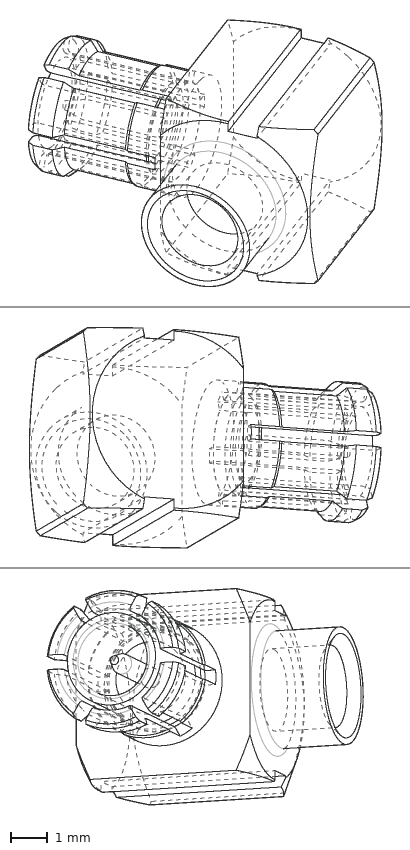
import cadquery as cq
import math


BODY_LEFT = -1.9
BODY_RIGHT = 2.5
BODY_WIDTH = 5.0
EDGE_CHAMFER = 0.12
BEVEL_RIM_RADIUS = 2.45
BEVEL_ANGLE = 30.0
GROOVE_LEFT = 0.1
GROOVE_WIDTH = 0.85
GROOVE_DEPTH = 0.3

TAIL_RADIUS = 1.6
TAIL_LENGTH = 2.0
TAIL_FILLET = 0.2
TAIL_BORE_RADIUS = 1.12
TAIL_BORE_DEPTH = 2.0
TAIL_MOUTH_CHAMFER = 0.3

SLEEVE_LENGTH = 4.2
SLEEVE_ROOT_RADIUS = 1.7
FINGER_RADIUS = 1.65
FINGER_INNER_RADIUS = 1.4
FINGER_TIP_FILLET = 0.15
HEAD_RADIUS = 1.9
HEAD_TIP_RADIUS = 1.8
HEAD_START = 0.18
HEAD_END = 0.75
NECK_START = 1.0
NECK_END = 2.8
ROOT_START = 2.88
SLOT_COUNT = 6
SLOT_WIDTH = 0.4
SLOT_LENGTH = 3.7

TUBE_SETBACK = 0.06
TUBE_RADIUS = 1.27
TUBE_BORE_RADIUS = 1.0
TUBE_BORE_FILLET = 0.1
TUBE_BORE_DEPTH = 3.2
COLLAR_START = 3.25
COLLAR_RADIUS = 1.385

PIN_RADIUS = 0.28
PIN_TIP_RADIUS = 0.12
PIN_SETBACK = 0.3
PIN_TAPER_LENGTH = 0.6

HALF_WIDTH = BODY_WIDTH / 2
TIP_X = BODY_LEFT - SLEEVE_LENGTH
TAIL_END_Y = -HALF_WIDTH - TAIL_LENGTH
X_AXIS = ((0, 0, 0), (1, 0, 0))
PROFILE_X_AXIS = ((0, 0, 0), (1, 0, 0))
PROFILE_Y_AXIS = ((0, 0, 0), (0, 1, 0))


def revolve_about_x(profile):
    """Revolve a profile of (distance from sleeve tip, radius) points about X."""
    points = [(TIP_X + distance, radius) for distance, radius in profile]
    return cq.Workplane("XZ").polyline(points).close().revolve(360, *PROFILE_X_AXIS)


def make_rounded_bore(mouth_x, floor_x, radius, fillet):
    """Cutter for a blind bore along X whose mouth edge is rounded."""
    return (
        cq.Workplane("XZ")
        .moveTo(mouth_x, 0)
        .lineTo(mouth_x, radius + fillet)
        .radiusArc((mouth_x + fillet, radius), -fillet)
        .lineTo(floor_x, radius)
        .lineTo(floor_x, 0)
        .close()
        .revolve(360, *PROFILE_X_AXIS)
    )


def make_body():
    """Square block with beveled Y faces and a groove across its top and bottom."""
    body_length = BODY_RIGHT - BODY_LEFT
    body = (
        cq.Workplane("XY")
        .box(body_length, BODY_WIDTH, BODY_WIDTH, centered=(False, True, True))
        .translate((BODY_LEFT, 0, 0))
        .edges("|Y and >X")
        .chamfer(EDGE_CHAMFER)
    )
    body = body.intersect(make_bevel_envelope())
    for side in (1, -1):
        groove = (
            cq.Workplane("XY")
            .box(GROOVE_WIDTH, BODY_WIDTH, 2 * GROOVE_DEPTH, centered=(False, True, True))
            .translate((GROOVE_LEFT, 0, side * HALF_WIDTH))
        )
        body = body.cut(groove)
    return body


def make_bevel_envelope():
    """Double cone about the tail axis that bevels the corners at both Y faces."""
    outer_radius = BODY_WIDTH
    drop = (outer_radius - BEVEL_RIM_RADIUS) * math.tan(math.radians(BEVEL_ANGLE))
    return (
        cq.Workplane("XY")
        .moveTo(0, -HALF_WIDTH)
        .lineTo(BEVEL_RIM_RADIUS, -HALF_WIDTH)
        .lineTo(outer_radius, -HALF_WIDTH + drop)
        .lineTo(outer_radius, HALF_WIDTH - drop)
        .lineTo(BEVEL_RIM_RADIUS, HALF_WIDTH)
        .lineTo(0, HALF_WIDTH)
        .close()
        .revolve(360, *PROFILE_Y_AXIS)
    )


def make_tail():
    """Cable tail with a concave fillet where it meets the body."""
    return (
        cq.Workplane("YZ")
        .moveTo(0, 0)
        .lineTo(0, TAIL_RADIUS + TAIL_FILLET)
        .lineTo(-HALF_WIDTH, TAIL_RADIUS + TAIL_FILLET)
        .radiusArc((-HALF_WIDTH - TAIL_FILLET, TAIL_RADIUS), TAIL_FILLET)
        .lineTo(TAIL_END_Y, TAIL_RADIUS)
        .lineTo(TAIL_END_Y, 0)
        .close()
        .revolve(360, *PROFILE_X_AXIS)
    )


def make_tail_bore():
    """Blind bore with a chamfered mouth."""
    bore_floor_y = TAIL_END_Y + TAIL_BORE_DEPTH
    points = [
        (TAIL_END_Y, 0),
        (TAIL_END_Y, TAIL_BORE_RADIUS + TAIL_MOUTH_CHAMFER),
        (TAIL_END_Y + TAIL_MOUTH_CHAMFER, TAIL_BORE_RADIUS),
        (bore_floor_y, TAIL_BORE_RADIUS),
        (bore_floor_y, 0),
    ]
    return cq.Workplane("YZ").polyline(points).close().revolve(360, *PROFILE_X_AXIS)


def make_sleeve():
    """Spring-finger sleeve: hollow up to the slot ends, then solid."""
    outside = revolve_about_x([
        (0, 0),
        (0, HEAD_TIP_RADIUS),
        (HEAD_START, HEAD_RADIUS),
        (HEAD_END, HEAD_RADIUS),
        (NECK_START, FINGER_RADIUS),
        (NECK_END, FINGER_RADIUS),
        (ROOT_START, SLEEVE_ROOT_RADIUS),
        (SLEEVE_LENGTH, SLEEVE_ROOT_RADIUS),
        (SLEEVE_LENGTH, 0),
    ])
    cavity = make_rounded_bore(TIP_X, TIP_X + SLOT_LENGTH, FINGER_INNER_RADIUS, FINGER_TIP_FILLET)
    sleeve = outside.cut(cavity)
    for index in range(SLOT_COUNT):
        slot = (
            cq.Workplane("XY")
            .box(SLOT_LENGTH, 2 * HEAD_RADIUS, SLOT_WIDTH, centered=(False, False, True))
            .translate((TIP_X, 0, 0))
            .rotate(*X_AXIS, index * 360 / SLOT_COUNT)
        )
        sleeve = sleeve.cut(slot)
    return sleeve


def make_insulator():
    """Tube with a chamfered collar at its root and a blind bore for the pin."""
    mouth_x = TIP_X + TUBE_SETBACK
    tube = revolve_about_x([
        (TUBE_SETBACK, 0),
        (TUBE_SETBACK, TUBE_RADIUS),
        (COLLAR_START, TUBE_RADIUS),
        (COLLAR_START + COLLAR_RADIUS - TUBE_RADIUS, COLLAR_RADIUS),
        (SLEEVE_LENGTH, COLLAR_RADIUS),
        (SLEEVE_LENGTH, 0),
    ])
    return tube.cut(make_rounded_bore(mouth_x, TIP_X + TUBE_BORE_DEPTH, TUBE_BORE_RADIUS, TUBE_BORE_FILLET))


def make_pin():
    """Centre contact with a tapered tip, standing on the floor of the insulator bore."""
    return revolve_about_x([
        (PIN_SETBACK, 0),
        (PIN_SETBACK, PIN_TIP_RADIUS),
        (PIN_SETBACK + PIN_TAPER_LENGTH, PIN_RADIUS),
        (SLEEVE_LENGTH, PIN_RADIUS),
        (SLEEVE_LENGTH, 0),
    ])


result = (
    make_body()
    .union(make_tail())
    .cut(make_tail_bore())
    .union(make_sleeve())
    .union(make_insulator())
    .union(make_pin())
)